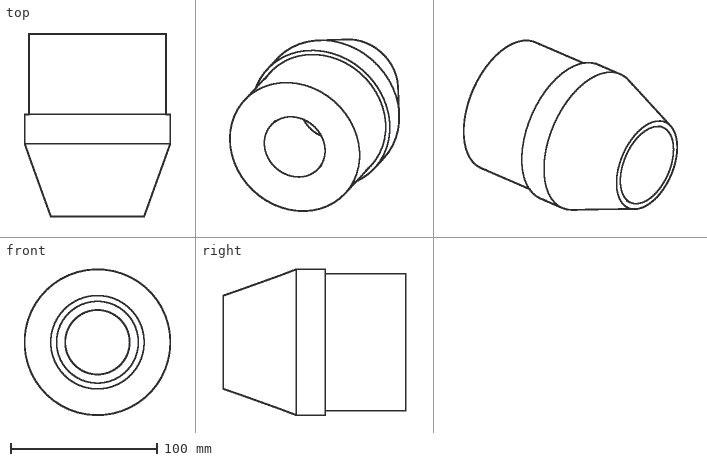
import cadquery as cq

nose_diameter = 64.0
collar_diameter = 100.0
spigot_diameter = 94.0

nose_bore_diameter = 56.0
through_bore_diameter = 44.0

total_length = 125.0
cone_length = 50.0
collar_length = 20.0
nose_bore_depth = cone_length

collar_start = cone_length
collar_end = collar_start + collar_length


def make_body():
    """Solid of revolution about Y: cone, collar and plain spigot."""
    return (
        cq.Workplane("XY")
        .moveTo(0, 0)
        .lineTo(nose_diameter / 2, 0)
        .lineTo(collar_diameter / 2, collar_start)
        .lineTo(collar_diameter / 2, collar_end)
        .lineTo(spigot_diameter / 2, collar_end)
        .lineTo(spigot_diameter / 2, total_length)
        .lineTo(0, total_length)
        .close()
        .revolve(360, (0, 0, 0), (0, 1, 0))
    )


def make_bore(diameter, depth):
    """Cylinder about Y that starts at the nose face and runs toward +Y."""
    return cq.Workplane("XZ").circle(diameter / 2).extrude(-depth)


result = (
    make_body()
    .cut(make_bore(through_bore_diameter, total_length))
    .cut(make_bore(nose_bore_diameter, nose_bore_depth))
)